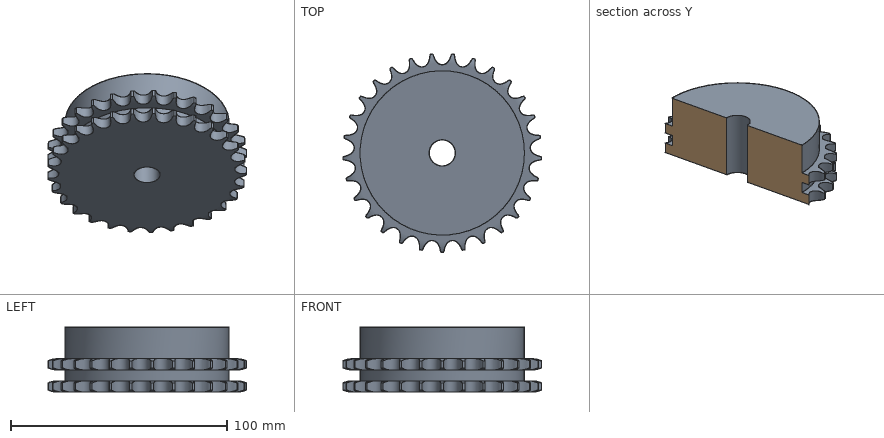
import cadquery as cq
import math

tooth_count = 29
chain_pitch = 9.525
roller_diameter = 6.35
seat_ratio = 0.505
outer_radius = 46.0
tooth_width = 5.2
row_spacing = 10.24
row_count = 2

hub_diameter = 76.0
total_height = 30.0
bore_diameter = 12.0

side_radius = 10.0
side_relief = 1.0

root_half_width = 2.07
shoulder_half_width = 1.0
shoulder_height = 44.7
tip_half_width = 0.56
flank_radius = 7.0
shoulder_radius = 4.0

seat_radius = seat_ratio * roller_diameter
tooth_angle = 2 * math.pi / tooth_count
pitch_radius = chain_pitch / (2 * math.sin(tooth_angle / 2))
seat_bottom_radius = pitch_radius - seat_radius
first_tooth_angle = -math.pi / 2


def on_tooth(point, angle):
    """Place a point given in tooth axes (across, outward) on the tooth at this angle."""
    across, outward = point
    return (
        outward * math.cos(angle) - across * math.sin(angle),
        outward * math.sin(angle) + across * math.cos(angle),
    )


def arc_middle(start, end, radius):
    """Middle of an arc from start to end that bulges to the left of that direction."""
    run = end[0] - start[0]
    rise = end[1] - start[1]
    chord = math.hypot(run, rise)
    sagitta = radius - math.sqrt(radius**2 - (chord / 2) ** 2)
    return (
        (start[0] + end[0]) / 2 - sagitta * rise / chord,
        (start[1] + end[1]) / 2 + sagitta * run / chord,
    )


def half_tooth():
    """Points from the tip corner down to the seat bottom; every second one is an arc middle."""
    half_angle = tooth_angle / 2
    seat_centre = (pitch_radius * math.sin(half_angle), pitch_radius * math.cos(half_angle))
    seat_bottom = (
        seat_bottom_radius * math.sin(half_angle),
        seat_bottom_radius * math.cos(half_angle),
    )
    seat_depth = math.sqrt(seat_radius**2 - (seat_centre[0] - root_half_width) ** 2)

    tip_corner = (tip_half_width, math.sqrt(outer_radius**2 - tip_half_width**2))
    shoulder = (shoulder_half_width, shoulder_height)
    root = (root_half_width, seat_centre[1] - seat_depth)
    return [
        tip_corner,
        arc_middle(tip_corner, shoulder, shoulder_radius),
        shoulder,
        arc_middle(root, shoulder, flank_radius),
        root,
        arc_middle(seat_bottom, root, seat_radius),
        seat_bottom,
    ]


def tooth_outline():
    """Closed outline of one row of teeth."""
    falling_side = half_tooth()
    rising_side = [(-across, outward) for across, outward in reversed(falling_side)]
    tip_middle = (0, outer_radius)
    tooth = rising_side + [tip_middle] + falling_side

    outline = cq.Workplane("XY").moveTo(*on_tooth(tooth[0], first_tooth_angle))
    for index in range(tooth_count):
        angle = first_tooth_angle + index * tooth_angle
        for middle, end in zip(tooth[1::2], tooth[2::2]):
            outline = outline.threePointArc(on_tooth(middle, angle), on_tooth(end, angle))
    return outline.close()


def rounded_disc():
    """Disc whose rim is rounded on both sides, thinning towards the tooth tips."""
    rounding_depth = math.sqrt(side_radius**2 - (side_radius - side_relief) ** 2)
    flat_radius = outer_radius - rounding_depth
    middle_angle = math.asin(rounding_depth / side_radius) / 2
    middle_radius = flat_radius + side_radius * math.sin(middle_angle)
    middle_relief = side_radius * (1 - math.cos(middle_angle))
    return (
        cq.Workplane("XZ")
        .lineTo(flat_radius, 0)
        .threePointArc((middle_radius, middle_relief), (outer_radius, side_relief))
        .lineTo(outer_radius, tooth_width - side_relief)
        .threePointArc((middle_radius, tooth_width - middle_relief), (flat_radius, tooth_width))
        .lineTo(0, tooth_width)
        .close()
        .revolve(360, (0, 0, 0), (0, 1, 0))
    )


def tooth_row():
    return tooth_outline().extrude(tooth_width).intersect(rounded_disc())


def hub():
    return cq.Workplane("XY").circle(hub_diameter / 2).extrude(total_height)


def bore():
    return cq.Workplane("XY").circle(bore_diameter / 2).extrude(total_height)


sprocket = hub()
row = tooth_row()
for row_index in range(row_count):
    sprocket = sprocket.union(row.translate((0, 0, row_index * row_spacing)))

result = sprocket.cut(bore())